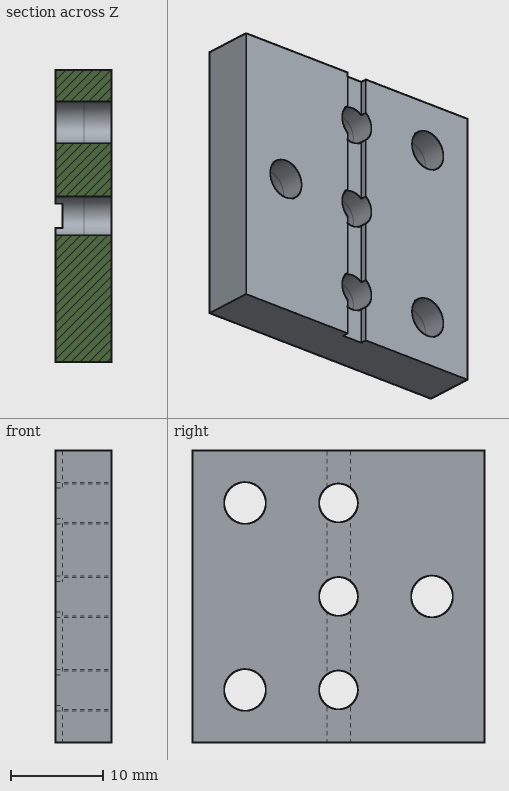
import cadquery as cq

side = 31.75
thickness = 6.1

groove_width = 2.6
groove_depth = 0.75

hole_pitch = 10.15
groove_hole_diameter = 4.2
mounting_hole_diameter = 4.5

groove_hole_centres = [(0, -hole_pitch), (0, 0), (0, hole_pitch)]
mounting_hole_centres = [
    (hole_pitch, 0),
    (-hole_pitch, -hole_pitch),
    (-hole_pitch, hole_pitch),
]


def through_holes(centres, diameter):
    """Cylinders along X that span the full plate thickness."""
    return (
        cq.Workplane("YZ")
        .pushPoints(centres)
        .circle(diameter / 2)
        .extrude(thickness / 2, both=True)
    )


plate = cq.Workplane("XY").box(thickness, side, side)

groove_centre_x = (groove_depth - thickness) / 2
groove = (
    cq.Workplane("XY")
    .box(groove_depth, groove_width, side)
    .translate((groove_centre_x, 0, 0))
)

result = (
    plate
    .cut(groove)
    .cut(through_holes(groove_hole_centres, groove_hole_diameter))
    .cut(through_holes(mounting_hole_centres, mounting_hole_diameter))
)